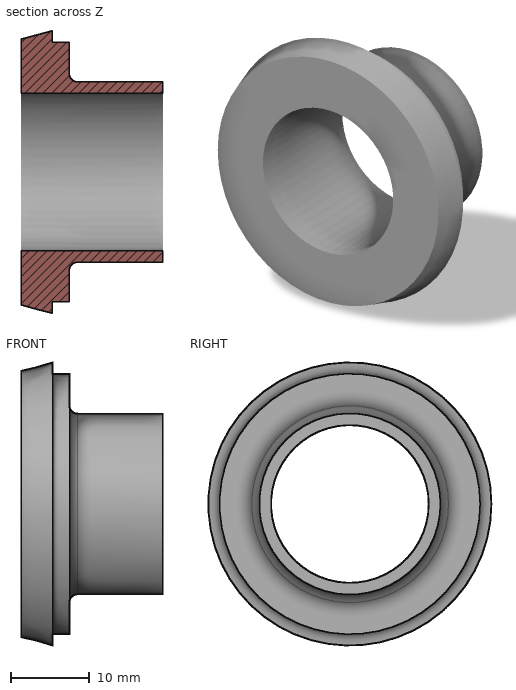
import cadquery as cq
import math

total_length = 18.0
bore_diameter = 20.0
barrel_diameter = 23.0
flange_diameter = 36.0
flange_thickness = 4.0
flange_taper_angle = 15.0
shoulder_diameter = 33.1
shoulder_end = 6.15
root_fillet_radius = 1.0

bore_radius = bore_diameter / 2
barrel_radius = barrel_diameter / 2
flange_radius = flange_diameter / 2
shoulder_radius = shoulder_diameter / 2
face_radius = flange_radius - flange_thickness * math.tan(math.radians(flange_taper_angle))


def turned_profile():
    """Half section in the XY plane: X along the axis, Y as the radius."""
    return (
        cq.Workplane("XY")
        .moveTo(0, bore_radius)
        .lineTo(0, face_radius)
        .lineTo(flange_thickness, flange_radius)
        .lineTo(flange_thickness, shoulder_radius)
        .lineTo(shoulder_end, shoulder_radius)
        .lineTo(shoulder_end, barrel_radius + root_fillet_radius)
        .radiusArc((shoulder_end + root_fillet_radius, barrel_radius), -root_fillet_radius)
        .lineTo(total_length, barrel_radius)
        .lineTo(total_length, bore_radius)
        .close()
    )


result = turned_profile().revolve(360, (0, 0, 0), (1, 0, 0))